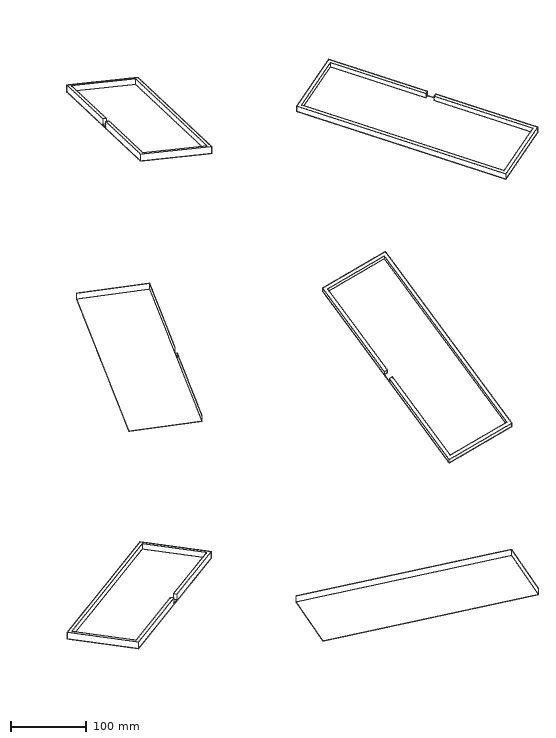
import cadquery as cq

length = 308.0
width = 100.0
height = 10.0

wall = 5.0
floor = 2.0

notch_width = 12.0
notch_center_x = 2.5

block = cq.Workplane("XY").box(length, width, height, centered=(True, True, False))

pocket = (
    cq.Workplane("XY", origin=(0, 0, floor))
    .rect(length - 2 * wall, width - 2 * wall)
    .extrude(height - floor)
)

notch = (
    cq.Workplane("XY", origin=(notch_center_x, -width / 2 + wall / 2, floor))
    .rect(notch_width, wall)
    .extrude(height - floor)
)

result = block.cut(pocket.union(notch))